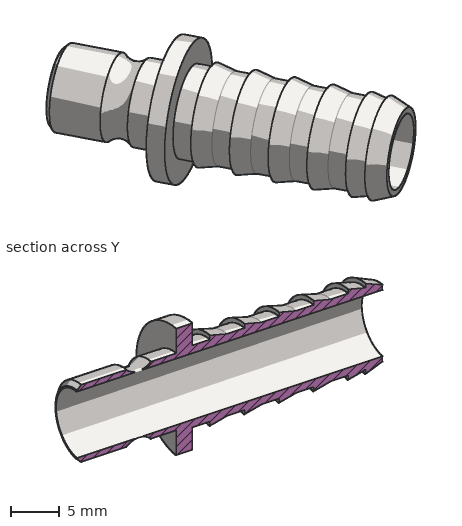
import cadquery as cq

total_length = 37.0
plug_chamfer = 0.5
groove_start = 6.0
groove_end = 8.95
collar_start = 12.0
collar_width = 2.0

plug_radius = 4.7
groove_floor_radius = 4.07
collar_radius = 7.7
stem_radius = 5.0
barb_tip_radius = 5.5
outlet_radius = 4.65
bore_radius = 4.0

barb_count = 5
collar_end = collar_start + collar_width
barb_length = (total_length - collar_end) / (2 * barb_count + 1)


def plug_body():
    """Chamfered plug with a rounded locking groove, revolved about X."""
    groove_middle = (groove_start + groove_end) / 2
    profile = (
        cq.Workplane("XZ")
        .lineTo(0, plug_radius - plug_chamfer)
        .lineTo(plug_chamfer, plug_radius)
        .lineTo(groove_start, plug_radius)
        .threePointArc((groove_middle, groove_floor_radius), (groove_end, plug_radius))
        .lineTo(collar_start, plug_radius)
        .lineTo(collar_start, 0)
        .close()
    )
    return profile.revolve(360, (0, 0, 0), (1, 0, 0))


def collar():
    return cq.Workplane("YZ", origin=(collar_start, 0, 0)).circle(collar_radius).extrude(collar_width)


def hose_tail():
    """Stem with sawtooth barbs facing the collar and a tapered outlet end."""
    profile = cq.Workplane("XZ").moveTo(collar_end, 0).lineTo(collar_end, stem_radius)
    for index in range(barb_count):
        barb_start = collar_end + (2 * index + 1) * barb_length
        profile = (
            profile.lineTo(barb_start, stem_radius)
            .lineTo(barb_start, barb_tip_radius)
            .lineTo(barb_start + barb_length, stem_radius)
        )
    profile = (
        profile.lineTo(total_length - barb_length, barb_tip_radius)
        .lineTo(total_length, outlet_radius)
        .lineTo(total_length, 0)
        .close()
    )
    return profile.revolve(360, (0, 0, 0), (1, 0, 0))


bore = cq.Workplane("YZ").circle(bore_radius).extrude(total_length)
result = plug_body().union(collar()).union(hose_tail()).cut(bore)